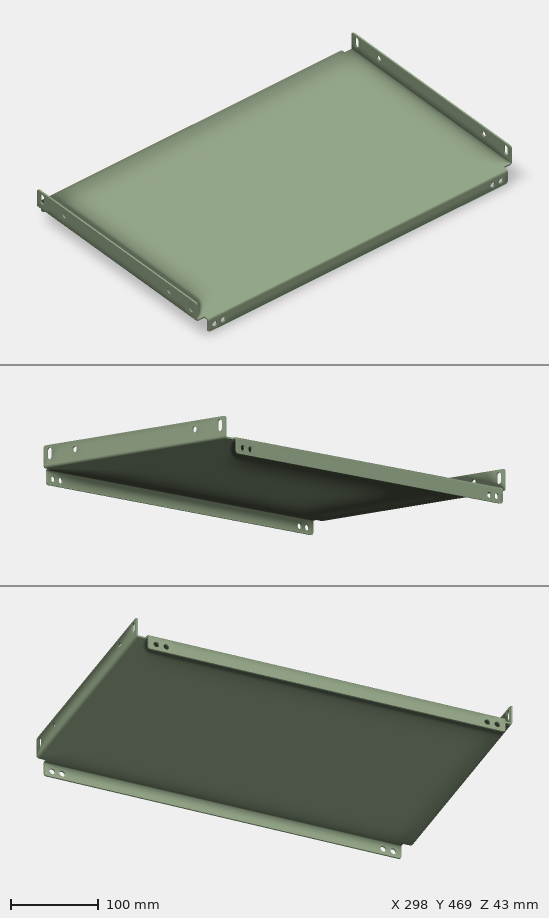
import cadquery as cq

length_x = 298.0
length_y = 469.0
sheet = 2.0
inner_bend = 1.0
outer_bend = inner_bend + sheet

end_flange_height = 26.0
side_flange_height = 19.0
end_flange_length = 284.0
side_flange_length = 445.0
end_corner_radius = 3.0
side_corner_radius = 3.0

end_hole_drop = 10.0
slot_width = 7.0
slot_height = 14.0
upright_angle = 90.0
slot_spacing = 266.0
end_hole_diameter = 7.0
end_hole_spacing = 187.0

side_hole_rise = 7.5
side_hole_diameter = 7.0
side_hole_inset = 10.0
side_hole_pitch = 12.5

end_top = end_flange_height - sheet
side_bottom = -side_flange_height


def bent_strip(plane, width, length, rise):
    """Bent sheet channel centred on the origin; a positive rise turns its flanges up, a negative one down."""
    half = width / 2
    if rise > 0:
        outside, inside, turn = -sheet, 0.0, 1
    else:
        outside, inside, turn = 0.0, -sheet, -1
    blank = (
        cq.Workplane(plane)
        .moveTo(-half, rise)
        .lineTo(-half, outside + turn * outer_bend)
        .radiusArc((-half + outer_bend, outside), -turn * outer_bend)
        .lineTo(half - outer_bend, outside)
        .radiusArc((half, outside + turn * outer_bend), -turn * outer_bend)
        .lineTo(half, rise)
        .lineTo(half - sheet, rise)
        .lineTo(half - sheet, inside + turn * inner_bend)
        .radiusArc((half - outer_bend, inside), turn * inner_bend)
        .lineTo(-half + outer_bend, inside)
        .radiusArc((-half + sheet, inside + turn * inner_bend), turn * inner_bend)
        .lineTo(-half + sheet, rise)
        .close()
    )
    return blank.extrude(length / 2, both=True)


def end_channel():
    """Shelf strip with the two upturned end flanges, their slots and round holes."""
    channel = bent_strip("YZ", length_y, end_flange_length, end_top)
    channel = channel.faces(">Z").edges("|Y").fillet(end_corner_radius)
    hole_z = end_top - end_hole_drop
    slots = (
        cq.Workplane("XZ")
        .pushPoints([(side * slot_spacing / 2, hole_z) for side in (-1, 1)])
        .slot2D(slot_height, slot_width, upright_angle)
        .extrude(length_y, both=True)
    )
    holes = (
        cq.Workplane("XZ")
        .pushPoints([(side * end_hole_spacing / 2, hole_z) for side in (-1, 1)])
        .circle(end_hole_diameter / 2)
        .extrude(length_y, both=True)
    )
    return channel.cut(slots).cut(holes)


def side_channel():
    """Shelf strip with the two downturned side flanges and their paired holes."""
    channel = bent_strip("XZ", length_x, side_flange_length, side_bottom)
    channel = channel.faces("<Z").edges("|X").fillet(side_corner_radius)
    outer_y = side_flange_length / 2 - side_hole_inset
    inner_y = outer_y - side_hole_pitch
    hole_z = side_bottom + side_hole_rise
    holes = (
        cq.Workplane("YZ")
        .pushPoints([(y, hole_z) for y in (-outer_y, -inner_y, inner_y, outer_y)])
        .circle(side_hole_diameter / 2)
        .extrude(length_x, both=True)
    )
    return channel.cut(holes)


result = end_channel().union(side_channel()).clean()